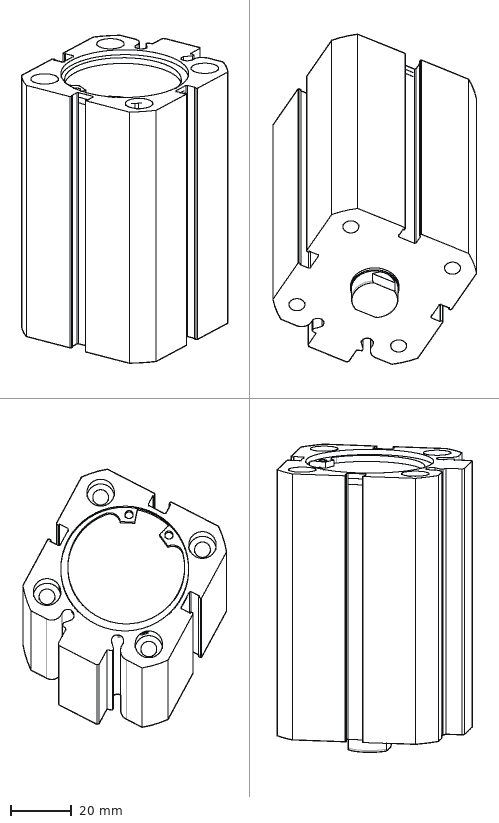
import cadquery as cq
import math

total_height = 96.0

body_width = 54.0
rod_projection = 7.0
body_height = total_height - rod_projection
half_width = body_width / 2
corner_start = 20.6
corner_radius = math.hypot(half_width, corner_start)

rail_top = 60.0 - half_width
rail_half_width = 7.6
rail_chamfer = 0.6
wing_half_width = 9.3
wing_top = 26.4
wing_bottom = 25.6
channel_x = 9.2
channel_y = 22.7
channel_radius = 2.0
channel_end_angle = 20
channel_round = 3.6

slot_width = 6.5
slot_mouth = 5.6
slot_depth = 4.5
slot_lip = 1.0
lip_chamfer = 0.3
slot_floor_chamfer = 0.4

bolt_pitch = 37.8
bolt_diameter = 5.2
counterbore_diameter = 9.0
counterbore_depth = 7.0

recess_radius = 21.0
ring_drop = 1.7
ring_thickness = 2.0
cover_thickness = 9.6
cover_top = total_height - ring_drop - ring_thickness
cover_bottom = cover_top - cover_thickness

ring_outer_radius = 22.3
ring_inner_radius = 19.2
ring_inner_shift = -1.1
lug_root_x = 14.3
lug_root_y = ring_inner_shift - math.sqrt(ring_inner_radius**2 - lug_root_x**2)
lug_waist = (11.4, -15.1)
lug_peak = (8.8, -13.6)
lug_tip = (4.6, -15.7)
lug_hole = (7.4, -17.1)
lug_hole_diameter = 2.7

rod_diameter = 15.9
neck_diameter = 15.4
shoulder_chamfer = (rod_diameter - neck_diameter) / 2
shoulder_drop = 1.2
flat_distance = 12.9
flat_height = 4.4
flat_ramp = 1.5
end_chamfer_width = 0.2
end_chamfer_height = 0.7


def make_outline():
    """Rounded-off square with the rail and its two channels on the +Y side."""
    corner_mid = corner_radius * math.sqrt(0.5)
    end_angle = math.radians(channel_end_angle)
    channel_end_x = channel_x - channel_radius * math.cos(end_angle)
    channel_end_y = channel_y + channel_radius * math.sin(end_angle)
    round_diagonal = channel_round * math.sqrt(0.5)
    outer_wall = channel_x + channel_radius
    round_x = outer_wall + channel_round
    round_y = half_width - channel_round
    return (
        cq.Workplane("XY").workplane(offset=rod_projection)
        .moveTo(0, -half_width)
        .lineTo(corner_start, -half_width)
        .threePointArc((corner_mid, -corner_mid), (half_width, -corner_start))
        .lineTo(half_width, corner_start)
        .threePointArc((corner_mid, corner_mid), (corner_start, half_width))
        .lineTo(round_x, half_width)
        .threePointArc((round_x - round_diagonal, round_y + round_diagonal), (outer_wall, round_y))
        .lineTo(outer_wall, channel_y)
        .threePointArc((channel_x, channel_y - channel_radius), (channel_end_x, channel_end_y))
        .lineTo(wing_half_width, wing_bottom)
        .lineTo(wing_half_width, wing_top)
        .lineTo(rail_half_width, half_width)
        .lineTo(rail_half_width, rail_top - rail_chamfer)
        .lineTo(rail_half_width - rail_chamfer, rail_top)
        .lineTo(0, rail_top)
        .mirrorY()
        .extrude(body_height)
    )


def make_slot_cutter(angle):
    """T-slot cutter for the -Y side, turned about Z by the angle."""
    lip_inside = -half_width + slot_lip
    floor_y = -half_width + slot_depth
    half_profile = [
        (0, -half_width),
        (slot_mouth / 2 + lip_chamfer, -half_width),
        (slot_mouth / 2, -half_width + lip_chamfer),
        (slot_mouth / 2, lip_inside),
        (slot_width / 2, lip_inside),
        (slot_width / 2, floor_y - slot_floor_chamfer),
        (slot_width / 2 - slot_floor_chamfer, floor_y),
        (0, floor_y),
    ]
    cutter = (
        cq.Workplane("XY").workplane(offset=rod_projection)
        .polyline(half_profile).mirrorY().extrude(body_height)
    )
    return cutter.rotate((0, 0, 0), (0, 0, 1), angle)


def make_housing():
    housing = make_outline()
    for angle in (-90, 0, 90):
        housing = housing.cut(make_slot_cutter(angle))
    housing = (
        housing.faces(">Z").workplane(origin=(0, 0, total_height))
        .rect(bolt_pitch, bolt_pitch, forConstruction=True)
        .vertices()
        .cboreHole(bolt_diameter, counterbore_diameter, counterbore_depth)
    )
    recess = (
        cq.Workplane("XY").workplane(offset=cover_bottom)
        .circle(recess_radius).extrude(total_height - cover_bottom)
    )
    ring_groove = (
        cq.Workplane("XY").workplane(offset=cover_top)
        .circle(ring_outer_radius).extrude(ring_thickness)
    )
    rod_bore = (
        cq.Workplane("XY").workplane(offset=rod_projection)
        .circle(rod_diameter / 2).extrude(cover_bottom - rod_projection)
    )
    return housing.cut(recess).cut(ring_groove).cut(rod_bore)


def make_cover():
    return (
        cq.Workplane("XY").workplane(offset=cover_bottom)
        .circle(recess_radius).extrude(cover_thickness)
    )


def make_retaining_ring():
    """Open ring with an inward lug and a plier hole at each end."""
    end_scale = ring_outer_radius / math.hypot(*lug_tip)
    end_x, end_y = lug_tip[0] * end_scale, lug_tip[1] * end_scale
    ring = (
        cq.Workplane("XY").workplane(offset=cover_top)
        .moveTo(end_x, end_y)
        .threePointArc((0, ring_outer_radius), (-end_x, end_y))
        .lineTo(-lug_tip[0], lug_tip[1])
        .lineTo(-lug_peak[0], lug_peak[1])
        .threePointArc((-lug_waist[0], lug_waist[1]), (-lug_root_x, lug_root_y))
        .threePointArc((0, ring_inner_radius + ring_inner_shift), (lug_root_x, lug_root_y))
        .threePointArc(lug_waist, lug_peak)
        .lineTo(*lug_tip)
        .close()
        .extrude(ring_thickness)
    )
    plier_holes = (
        cq.Workplane("XY").workplane(offset=cover_top)
        .pushPoints([(side * lug_hole[0], lug_hole[1]) for side in (-1, 1)])
        .circle(lug_hole_diameter / 2).extrude(ring_thickness)
    )
    return ring.cut(plier_holes)


def make_rod():
    """Rod with a stepped-down end and two wrench flats."""
    shoulder_z = rod_projection - shoulder_drop
    rod_radius = rod_diameter / 2
    neck_radius = neck_diameter / 2
    rod = (
        cq.Workplane("XZ")
        .polyline([
            (0, 0),
            (neck_radius - end_chamfer_width, 0),
            (neck_radius, end_chamfer_height),
            (neck_radius, shoulder_z),
            (rod_radius, shoulder_z + shoulder_chamfer),
            (rod_radius, cover_bottom),
            (0, cover_bottom),
        ])
        .close()
        .revolve(360, (0, 0), (0, 1))
    )
    flat_cutter = (
        cq.Workplane("YZ")
        .moveTo(flat_distance / 2, 0)
        .lineTo(flat_distance / 2, flat_height)
        .lineTo(flat_distance / 2 + flat_ramp, flat_height + flat_ramp)
        .lineTo(rod_diameter, flat_height + flat_ramp)
        .lineTo(rod_diameter, 0)
        .close()
        .extrude(rod_diameter / 2, both=True)
    )
    return rod.cut(flat_cutter).cut(flat_cutter.mirror("XZ"))


housing = make_housing()
cover = make_cover()
retaining_ring = make_retaining_ring()
rod = make_rod()

result = cq.Compound.makeCompound(
    [housing.val(), cover.val(), retaining_ring.val(), rod.val()]
)